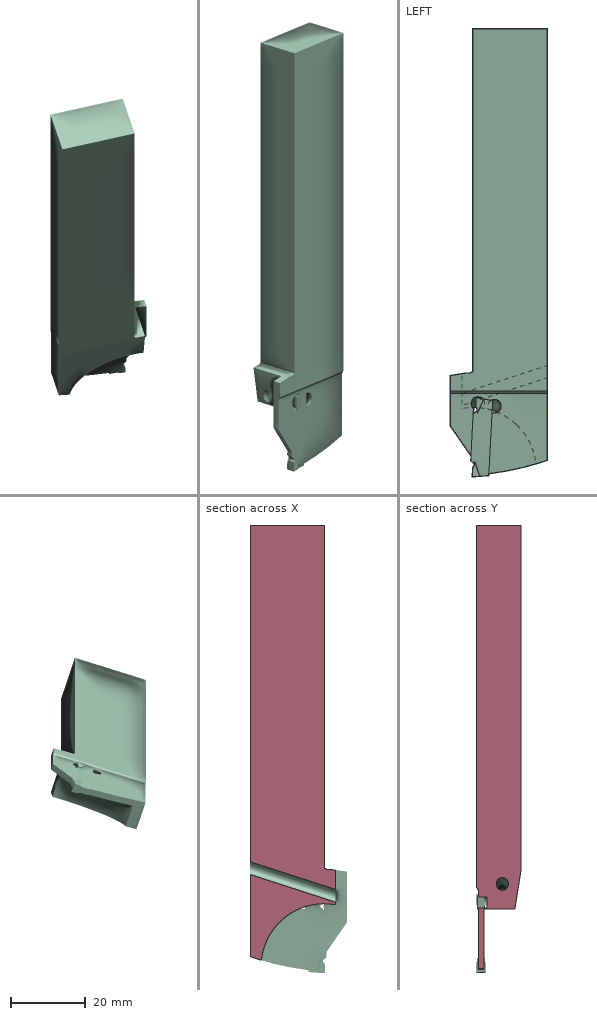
import cadquery as cq
import math

length = 120.0
shank_thickness = 12.0
shank_depth = 20.0
head_depth = 22.9
blade_depth = 26.0
blade_back = 2.2

shoulder_z = 27.8
shoulder_ramp_rise = 0.4
shoulder_ramp_end = 20.8
shoulder_slope_start = 21.8
shoulder_slope_angle = 9.0

jaw_corner_z = 13.7
jaw_tip = (20.4, 5.5)
heel_inner = (15.6, 0.8)
heel_middle = (8.6, 2.0)
heel_outer = (0.0, 4.5)

clearance_radius = 16.8
clearance_center = (19.8, 1.8)

face_relief = 0.5
relief_top_z = 23.0
relief_ramp_height = 0.7
taper_top_z = 27.5
taper_angle = 9.0

bore_radius = 1.5
bore_x = 7.0
bore_z = 28.2
bore_slant = 18.0
bore_length = 26.4

insert_tip = (20.2, 0.0)
insert_lean = 3.0
insert_length = 21.2
insert_width = 4.5
insert_ridge = 0.6
end_clearance_angle = 7.0
chip_groove = [(0.0, 2.6), (0.4, 3.0), (0.4, 3.5), (-insert_ridge, 4.3)]
flare_width = 2.0
flare_top = (0.54, 4.1)
flare_step = 0.2
flare_slope = 0.1
flare_reach = 3.6

relief_hole_radius = 1.8
relief_hole_centers = [(18.6, 19.7), (14.2, 19.0)]
relief_hole_depth = 2.8

margin = 6.0
end_clearance = insert_width * math.tan(math.radians(end_clearance_angle))


def at(s, t):
    """Turn insert coordinates into (Y, Z)."""
    lean = math.radians(insert_lean)
    y = insert_tip[0] - s * math.cos(lean) - t * math.sin(lean)
    z = insert_tip[1] - s * math.sin(lean) + t * math.cos(lean)
    return y, z


def prism(points, x_start, x_end):
    """Extrude a closed (Y, Z) outline from x_start to x_end."""
    return cq.Workplane("YZ", origin=(x_start, 0, 0)).polyline(points).close().extrude(x_end - x_start)


def cylinder_along_x(center, radius, x_start, x_end):
    return (
        cq.Workplane("YZ", origin=(x_start, 0, 0))
        .center(*center)
        .circle(radius)
        .extrude(x_end - x_start)
    )


def holder_blank():
    """Full side outline of shank and blade, at the thickness of the shank."""
    slope_length = blade_depth - shoulder_slope_start
    slope_end_z = shoulder_z - slope_length * math.tan(math.radians(shoulder_slope_angle))
    return (
        cq.Workplane("YZ")
        .moveTo(0, length)
        .lineTo(shank_depth, length)
        .lineTo(shank_depth, shoulder_z + shoulder_ramp_rise)
        .lineTo(shoulder_ramp_end, shoulder_z)
        .lineTo(shoulder_slope_start, shoulder_z)
        .lineTo(blade_depth, slope_end_z)
        .lineTo(blade_depth, jaw_corner_z)
        .lineTo(*jaw_tip)
        .lineTo(*heel_inner)
        .threePointArc(heel_middle, heel_outer)
        .close()
        .extrude(shank_thickness)
    )


def blade_clearance():
    """Material removed behind the blade: a round undercut and the overhang past the head."""
    x_end = shank_thickness + margin
    undercut = cylinder_along_x(clearance_center, clearance_radius, blade_back, x_end)
    overhang = cq.Workplane("XY").box(
        x_end - blade_back, margin, shoulder_z + margin, centered=False
    ).translate((blade_back, head_depth, 0))
    return undercut.union(overhang)


def side_cut(points):
    """Extrude an (X, Z) outline across the whole depth of the holder."""
    return cq.Workplane("XZ", origin=(0, -margin, 0)).polyline(points).close().extrude(
        -(blade_depth + 2 * margin)
    )


def face_relief_cut():
    return side_cut([
        (0, relief_top_z),
        (face_relief, relief_top_z - relief_ramp_height),
        (face_relief, -margin),
        (-margin, -margin),
        (-margin, relief_top_z),
    ])


def taper_cut():
    taper_run = (taper_top_z + margin) * math.tan(math.radians(taper_angle))
    return side_cut([
        (shank_thickness, taper_top_z),
        (shank_thickness + margin, taper_top_z),
        (shank_thickness + margin, -margin),
        (shank_thickness - taper_run, -margin),
    ])


def slanted_bore():
    slant = math.radians(bore_slant)
    direction = cq.Vector(0, math.cos(slant), -math.sin(slant))
    start = cq.Vector(bore_x, 0, bore_z) - direction * margin
    return cq.Workplane(cq.Solid.makeCylinder(bore_radius, bore_length + margin, start, direction))


def insert_slot():
    """Slot through the blade that holds the insert, open at the bottom."""
    outline = [
        at(-insert_ridge, -margin),
        at(insert_width, -margin),
        at(insert_width, insert_length - end_clearance),
        at(0, insert_length),
        at(-insert_ridge, insert_length - chip_groove[-1][1]),
    ]
    return prism(outline, -margin, blade_back)


def make_holder(insert):
    holder = holder_blank().cut(blade_clearance())
    holder = holder.cut(face_relief_cut()).cut(taper_cut()).cut(slanted_bore()).cut(insert_slot())
    for center in relief_hole_centers:
        holder = holder.cut(cylinder_along_x(center, relief_hole_radius, -margin, relief_hole_depth))
    return holder.cut(insert)


def from_end(points, upper):
    """Measure t from the upper end of the insert instead of the lower one."""
    return [(s, insert_length - t) for s, t in points] if upper else points


def insert_body():
    """Plain middle plate of the insert, the same at both ends."""
    lower_half = [(insert_width, end_clearance), (0, 0)] + chip_groove
    upper_half = from_end(lower_half[::-1], True)
    return prism([at(s, t) for s, t in lower_half + upper_half], face_relief, blade_back)


def flare_wedge(start, end, tip):
    """Wedge along the border from start to end that widens towards the cutting edge at tip."""
    along = (end - start).normalized()
    if along.cross(cq.Vector(1, 0, 0)).dot(tip - start) > 0:
        along = along * -1
    rise = flare_step + flare_slope * flare_reach
    origin = (start + end) * 0.5 - along * margin
    section = cq.Plane(origin=origin.toTuple(), xDir=(1, 0, 0), normal=along.toTuple())
    return (
        cq.Workplane(section)
        .polyline([
            (face_relief - flare_step, 0),
            (blade_back + flare_step, 0),
            (blade_back + rise, -flare_reach),
            (face_relief - rise, -flare_reach),
        ])
        .close()
        .extrude(2 * margin)
    )


def cutting_head(upper):
    """Flared corner at one end of the insert."""
    flare_base = (flare_width, end_clearance * flare_width / insert_width)
    outline = [flare_base, (0, 0)] + chip_groove[:-1] + [flare_top]
    corners = [at(s, t) for s, t in from_end(outline, upper)]
    start, tip, end = [cq.Vector(0, *corners[i]) for i in (0, 1, -1)]
    return prism(corners, -margin, margin).intersect(flare_wedge(start, end, tip))


def make_insert():
    insert = insert_body()
    for upper in (False, True):
        insert = insert.union(cutting_head(upper))
    return insert


insert = make_insert()
holder = make_holder(insert)
result = cq.Compound.makeCompound([holder.solids().val(), insert.solids().val()])